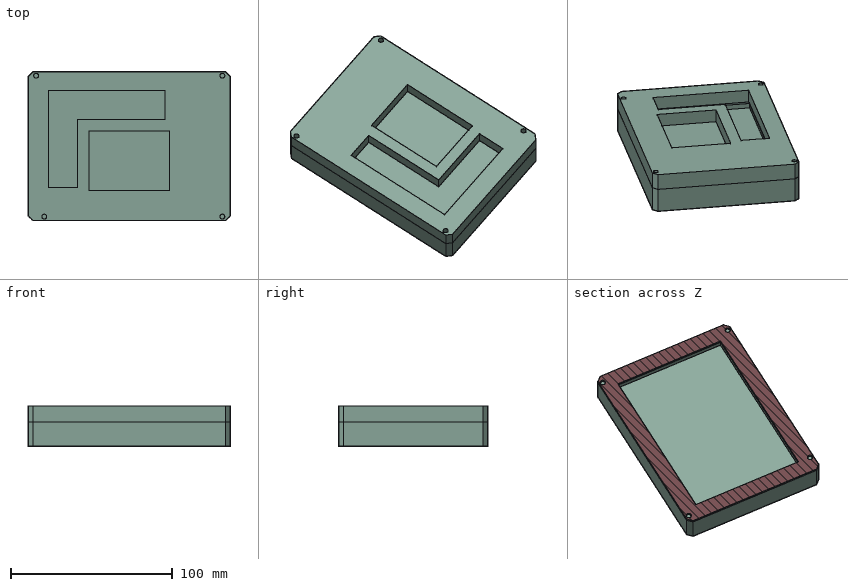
import cadquery as cq

LENGTH = 125.0
WIDTH = 92.0
BASE_HEIGHT = 15.0
LID_HEIGHT = 10.0
CORNER_CHAMFER = 3.0

WALL = 10.5
BASE_CAVITY_DEPTH = 3.0
LID_CAVITY_DEPTH = 2.0

L_LEFT = 12.5
L_BACK_MARGIN = 11.5
L_LENGTH = 72.0
L_WIDTH = 60.0
L_ARM = 18.0

WINDOW_LEFT = 37.5
WINDOW_FRONT = 18.5
WINDOW_LENGTH = 50.0
WINDOW_WIDTH = 37.0

SCREW_DIAMETER = 3.0
SCREW_SIDE_MARGIN = 5.0
SCREW_EDGE_MARGIN = 2.5
FRONT_LEFT_SCREW_MARGIN = 10.0


def block(left, front, bottom, length, width, height):
    """Box placed by its lower front left corner."""
    return cq.Workplane("XY").box(length, width, height, centered=False).translate((left, front, bottom))


def outer_block(bottom, height):
    """Full-size slab with its four upright edges chamfered."""
    return block(0, 0, bottom, LENGTH, WIDTH, height).edges("|Z").chamfer(CORNER_CHAMFER)


def cavity(bottom, height):
    """Space inside the enclosure walls."""
    return block(WALL, WALL, bottom, LENGTH - 2 * WALL, WIDTH - 2 * WALL, height)


def l_opening():
    back = WIDTH - L_BACK_MARGIN
    front = back - L_WIDTH
    back_arm = block(L_LEFT, back - L_ARM, BASE_HEIGHT, L_LENGTH, L_ARM, LID_HEIGHT)
    left_arm = block(L_LEFT, front, BASE_HEIGHT, L_ARM, L_WIDTH, LID_HEIGHT)
    return back_arm.union(left_arm)


def window_opening():
    return block(WINDOW_LEFT, WINDOW_FRONT, BASE_HEIGHT, WINDOW_LENGTH, WINDOW_WIDTH, LID_HEIGHT)


def screw_holes():
    right = LENGTH - SCREW_SIDE_MARGIN
    back = WIDTH - SCREW_EDGE_MARGIN
    centers = [
        (FRONT_LEFT_SCREW_MARGIN, SCREW_EDGE_MARGIN),
        (right, SCREW_EDGE_MARGIN),
        (SCREW_SIDE_MARGIN, back),
        (right, back),
    ]
    return (
        cq.Workplane("XY", origin=(0, 0, BASE_HEIGHT))
        .pushPoints(centers)
        .circle(SCREW_DIAMETER / 2)
        .extrude(LID_HEIGHT)
    )


def make_base():
    """Lower half: a thick slab with a shallow tray in its top face."""
    tray = cavity(BASE_HEIGHT - BASE_CAVITY_DEPTH, BASE_CAVITY_DEPTH)
    return outer_block(0, BASE_HEIGHT).cut(tray)


def make_lid():
    """Upper half: recessed underneath, with two openings and four screw holes."""
    lid = outer_block(BASE_HEIGHT, LID_HEIGHT)
    lid = lid.cut(cavity(BASE_HEIGHT, LID_CAVITY_DEPTH))
    lid = lid.cut(l_opening())
    lid = lid.cut(window_opening())
    return lid.cut(screw_holes())


base = make_base()
lid = make_lid()
result = cq.Compound.makeCompound([base.val(), lid.val()])